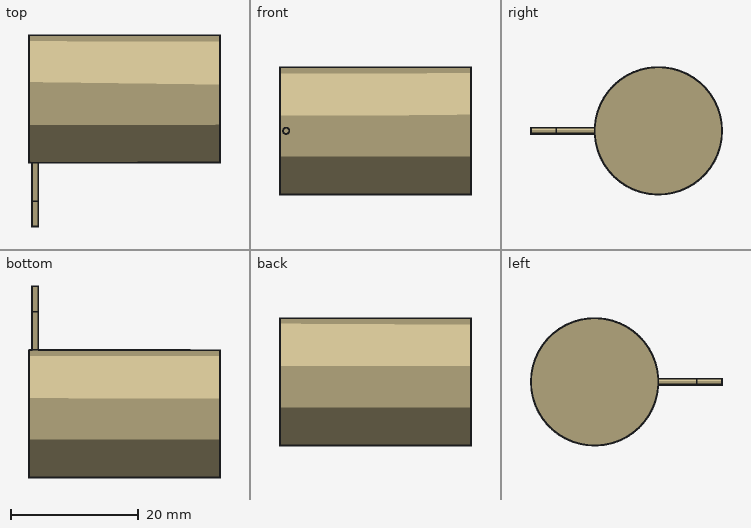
import cadquery as cq

housing_length = 30.0
housing_diameter = 20.0
lead_diameter = 1.0
overall_depth = 30.0
tip_length = 4.0
lead_inset = 1.0

housing_radius = housing_diameter / 2
lead_end_y = housing_radius - overall_depth
tip_start_y = lead_end_y + tip_length


def lead_section(start_y, end_y):
    """Round rod along -Y, between two Y positions."""
    plane = cq.Plane(origin=(lead_inset, start_y, 0), xDir=(1, 0, 0), normal=(0, -1, 0))
    return cq.Workplane(plane).circle(lead_diameter / 2).extrude(start_y - end_y)


def make_housing():
    """Plain cylinder along X with the fixed root of the lead on its -Y side."""
    barrel = cq.Workplane("YZ").circle(housing_radius).extrude(housing_length)
    return barrel.union(lead_section(0, tip_start_y), clean=False)


def make_tip():
    """Separate end piece that continues the lead root at the same diameter."""
    return lead_section(tip_start_y, lead_end_y)


housing = make_housing()
tip = make_tip()

result = cq.Compound.makeCompound([housing.val(), tip.val()])